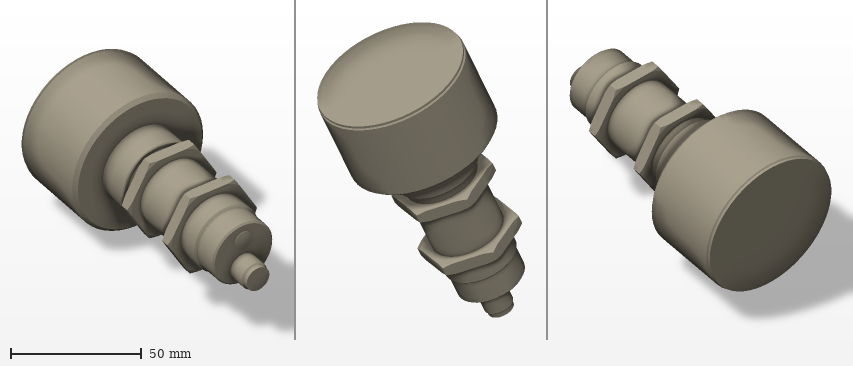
import cadquery as cq
import math


face_radius = 25.0
rim_radius = 30.0
rim_length = 1.0

head_diameter = 61.0
head_radius = head_diameter / 2
head_end = 36.0
head_front_chamfer = head_radius - rim_radius
head_rear_chamfer = 1.6
collar_radius = 17.0
collar_end = 49.0
collar_chamfer = 0.5
flare_length = 1.0
flare_arc_radius = 2.3

tube_radius = 14.9
neck_radius = 14.0
tube_end = 94.4
tube_chamfer = tube_radius - neck_radius
neck_end = 102.9

nut_width = 4.9
nut_across_flats = 36.0
nut_across_corners = nut_across_flats / math.cos(math.pi / 6)
nut_face_radius = 19.2
nut_chamfer_depth = 0.7
nut_starts = (53.0, 80.0)

lid_end = 104.9
lid_chamfer = 0.7

connector_end = 114.8
connector_radius = 6.0
connector_tip_radius = 5.3
connector_tip_length = 1.8
connector_chamfer = connector_radius - connector_tip_radius
connector_offset = 6.2

lens_radius = 3.9
lens_rim_height = 0.2
lens_dome_height = 0.6
lens_offset = 6.4


def spin(outline):
    """Turn a closed half outline in the XY plane into a solid of revolution about X."""
    return outline.close().revolve(360, (0, 0, 0), (1, 0, 0))


def turned(points):
    """Turned solid from its (x, radius) corner points, front to rear."""
    start = points[0][0]
    end = points[-1][0]
    return spin(cq.Workplane("XY").polyline([(start, 0), *points, (end, 0)]))


def cylinder(start, end, radius):
    return turned([(start, radius), (end, radius)])


def make_face():
    return cylinder(0, rim_length, face_radius)


def make_rim():
    return cylinder(0, rim_length, rim_radius).cut(make_face())


def make_head():
    """Chamfered drum whose rear face flares into the collar."""
    flare_rise = flare_arc_radius - math.sqrt(flare_arc_radius**2 - flare_length**2)
    outline = (
        cq.Workplane("XY")
        .moveTo(rim_length, 0)
        .lineTo(rim_length, rim_radius)
        .lineTo(rim_length + head_front_chamfer, head_radius)
        .lineTo(head_end - head_rear_chamfer, head_radius)
        .lineTo(head_end, head_radius - head_rear_chamfer)
        .lineTo(head_end, collar_radius + flare_rise)
        .radiusArc((head_end + flare_length, collar_radius), -flare_arc_radius)
        .lineTo(collar_end - collar_chamfer, collar_radius)
        .lineTo(collar_end, collar_radius - collar_chamfer)
        .lineTo(collar_end, 0)
    )
    return spin(outline)


def make_tube():
    return turned([
        (collar_end, tube_radius),
        (tube_end - tube_chamfer, tube_radius),
        (tube_end, neck_radius),
        (neck_end, neck_radius),
    ])


def make_nut(start):
    """Hexagon nut with two corners on the Y axis, chamfered at both faces and bored to fit the tube."""
    corner_radius = nut_across_corners / 2
    hexagon = cq.Workplane("YZ").polygon(6, nut_across_corners).extrude(nut_width)
    chamfer_envelope = turned([
        (0, nut_face_radius),
        (nut_chamfer_depth, corner_radius),
        (nut_width - nut_chamfer_depth, corner_radius),
        (nut_width, nut_face_radius),
    ])
    bore = cylinder(0, nut_width, tube_radius)
    return hexagon.intersect(chamfer_envelope).cut(bore).translate((start, 0, 0))


def make_lid():
    return turned([
        (neck_end, neck_radius),
        (lid_end - lid_chamfer, neck_radius),
        (lid_end, neck_radius - lid_chamfer),
    ])


def make_connector():
    tip_start = connector_end - connector_tip_length
    body = turned([
        (lid_end, connector_radius),
        (tip_start - connector_chamfer, connector_radius),
        (tip_start, connector_tip_radius),
        (connector_end, connector_tip_radius),
    ])
    return body.translate((0, 0, -connector_offset))


def make_lens():
    """Short disc topped by a spherical cap."""
    dome_start = lid_end + lens_rim_height
    sphere_radius = (lens_radius**2 + lens_dome_height**2) / (2 * lens_dome_height)
    outline = (
        cq.Workplane("XY")
        .moveTo(lid_end, 0)
        .lineTo(lid_end, lens_radius)
        .lineTo(dome_start, lens_radius)
        .radiusArc((dome_start + lens_dome_height, 0), sphere_radius)
    )
    return spin(outline).translate((0, 0, lens_offset))


face = make_face()
rim = make_rim()
head = make_head()
tube = make_tube()
nuts = [make_nut(start) for start in nut_starts]
lid = make_lid()
connector = make_connector()
lens = make_lens()

result = cq.Compound.makeCompound([
    face.val(),
    rim.val(),
    head.val(),
    tube.val(),
    *[nut.val() for nut in nuts],
    lid.val(),
    connector.val(),
    lens.val(),
])